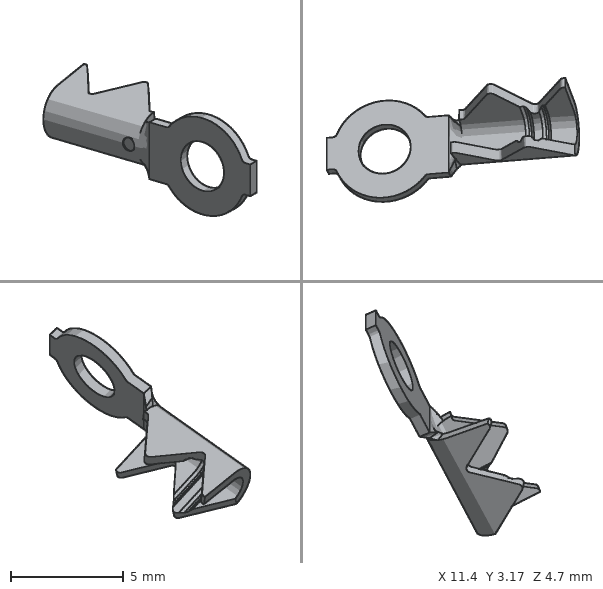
import cadquery as cq
import math

thickness = 0.5

total_length = 11.37
ring_diameter = 4.7
stud_hole_diameter = 2.36
ring_x = 8.74
neck_start_x = 5.83
neck_width = 2.77
tab_width = 1.55
neck_blend_radius = 0.17
tab_blend_radius = 0.2

barrel_length = 5.21
barrel_height = 3.17
bend_radius = 1.3
flare_angle = 9.0

first_tip_x = 0.07
half_pitch = 1.67
half_pitch_count = 3
tooth_flank_angle = 53.0
tooth_radius = 0.2

groove_positions = (1.36, 2.14)
groove_floor_width = 0.1
groove_depth = 0.14
groove_flank_angle = 45.0

cut_overrun = 0.25

dimple_x = 4.68
dimple_diameter = 0.64
dimple_floor_y = 0.08

transition_half_width = 1.09
middle_x = 5.49
middle_radius = 2.27
middle_half_width = 1.18

flare_sin = math.sin(math.radians(flare_angle))
flare_cos = math.cos(math.radians(flare_angle))
arm_base_y = bend_radius * (1 - flare_sin)
arm_base_z = bend_radius * flare_cos
arm_length = (barrel_height - thickness * flare_sin - arm_base_y) / flare_cos

arm_plane = cq.Plane(
    origin=(0, arm_base_y, arm_base_z),
    xDir=(1, 0, 0),
    normal=(0, -flare_sin, flare_cos),
)

flank_slope = math.tan(math.radians(tooth_flank_angle))
sharp_peak = arm_length + tooth_radius * (math.hypot(1, flank_slope) - 1)
sharp_valley = sharp_peak - half_pitch * flank_slope


def curved_section(x, radius, half_angle):
    """Cross-section at X: a strip of sheet bent about X, its outer surface touching Y = 0."""

    def point(r, angle):
        return (radius - r * math.cos(angle), r * math.sin(angle))

    inner_radius = radius - thickness
    return (
        cq.Workplane("YZ", origin=(x, 0, 0))
        .moveTo(*point(radius, -half_angle))
        .threePointArc(point(radius, 0), point(radius, half_angle))
        .lineTo(*point(inner_radius, half_angle))
        .threePointArc(point(inner_radius, 0), point(inner_radius, -half_angle))
        .close()
    )


def ruled_loft(start, end):
    """Solid with straight sides between two sections."""
    wires = [section.wires().val() for section in (start, end)]
    return cq.Workplane(cq.Solid.makeLoft(wires, True))


def toothed_arm(first_is_peak):
    """The +Z barrel arm, with rounded teeth along its free edge."""
    zigzag = []
    for i in range(-1, half_pitch_count + 2):
        is_peak = (i % 2 == 0) == first_is_peak
        zigzag.append((first_tip_x + i * half_pitch, sharp_peak if is_peak else sharp_valley))
    root = -arm_length
    outline = [(zigzag[0][0], root)] + zigzag + [(zigzag[-1][0], root)]

    sheet = cq.Workplane(arm_plane).polyline(outline).close().extrude(-thickness)
    tooth_edges = cq.selectors.BoxSelector(
        (-half_pitch / 2, 0, -barrel_height),
        (barrel_length + half_pitch / 2, 2 * barrel_height, barrel_height),
    )
    across_sheet = cq.selectors.ParallelDirSelector(arm_plane.zDir)
    sheet = sheet.edges(across_sheet).edges(tooth_edges).fillet(tooth_radius)
    blank = cq.Workplane(arm_plane).rect(barrel_length, arm_length, centered=False).extrude(-thickness)
    return sheet.intersect(blank)


def end_valley_cutter():
    """Wedge that carries the first tooth flank of the -Z arm straight on to the barrel end."""
    wedge_top = tooth_radius
    flank_x = first_tip_x + (wedge_top - sharp_valley) / flank_slope
    end_depth = sharp_valley - first_tip_x * flank_slope
    wedge = (
        cq.Workplane(arm_plane)
        .polyline([(0, end_depth), (flank_x, wedge_top), (0, wedge_top)])
        .close()
        .extrude(-thickness - cut_overrun)
    )
    return wedge.mirror("XY")


def barrel_bore(x, inset):
    """Filled outline of the barrel's inside at X, inset from the outer surface, open past the arm tips."""
    radius = bend_radius - inset
    reach = arm_length + cut_overrun
    base_y = bend_radius - radius * flare_sin
    base_z = radius * flare_cos
    tip_y = base_y + reach * flare_cos
    tip_z = base_z + reach * flare_sin
    return (
        cq.Workplane("YZ", origin=(x, 0, 0))
        .moveTo(tip_y, -tip_z)
        .lineTo(base_y, -base_z)
        .threePointArc((inset, 0), (base_y, base_z))
        .lineTo(tip_y, tip_z)
        .close()
    )


def groove_cutter(center_x):
    """Trapezoidal groove following the inside of the barrel."""
    floor_half = groove_floor_width / 2
    mouth_half = floor_half + groove_depth / math.tan(math.radians(groove_flank_angle))
    floor_inset = thickness - groove_depth
    cutter = barrel_bore(center_x - floor_half, floor_inset).extrude(groove_floor_width)
    for side in (-1, 1):
        mouth = barrel_bore(center_x + side * mouth_half, thickness)
        floor = barrel_bore(center_x + side * floor_half, floor_inset)
        cutter = cutter.union(ruled_loft(mouth, floor))
    return cutter


def barrel():
    bend = curved_section(0, bend_radius, math.radians(90 - flare_angle)).extrude(barrel_length)
    upper_arm = toothed_arm(first_is_peak=True)
    lower_arm = toothed_arm(first_is_peak=False).mirror("XY")
    body = bend.union(upper_arm).union(lower_arm).cut(end_valley_cutter())
    for groove_x in groove_positions:
        body = body.cut(groove_cutter(groove_x))
    dimple = (
        cq.Workplane("XZ", origin=(dimple_x, 0, 0))
        .circle(dimple_diameter / 2)
        .extrude(-dimple_floor_y)
    )
    return body.cut(dimple)


def transition():
    """Strip that flattens and widens from the barrel bend to the neck."""

    def dished(x, radius, half_width):
        return curved_section(x, radius, math.asin(half_width / radius))

    def middle():
        return dished(middle_x, middle_radius, middle_half_width)

    start = dished(barrel_length, bend_radius, transition_half_width)
    neck_end = (
        cq.Workplane("YZ", origin=(neck_start_x, 0, 0))
        .moveTo(0, -neck_width / 2)
        .lineTo(0, neck_width / 2)
        .lineTo(thickness, neck_width / 2)
        .lineTo(thickness, -neck_width / 2)
        .close()
    )
    return ruled_loft(start, middle()).union(ruled_loft(middle(), neck_end))


def tongue():
    """Flat ring with the neck on one side and a short tab on the other."""

    def strip(start_x, end_x, width):
        return (
            cq.Workplane("XZ")
            .center((start_x + end_x) / 2, 0)
            .rect(end_x - start_x, width)
            .extrude(-thickness)
        )

    ring = cq.Workplane("XZ").center(ring_x, 0).circle(ring_diameter / 2).extrude(-thickness)
    plate = ring.union(strip(neck_start_x, ring_x, neck_width)).union(strip(ring_x, total_length, tab_width))
    corner_spans = (
        (neck_start_x + thickness, ring_x, neck_blend_radius),
        (ring_x, total_length - tab_blend_radius, tab_blend_radius),
    )
    for span_start, span_end, radius in corner_spans:
        corners = cq.selectors.BoxSelector(
            (span_start, -thickness, -ring_diameter),
            (span_end, 2 * thickness, ring_diameter),
        )
        plate = plate.edges("|Y").edges(corners).fillet(radius)
    hole = cq.Workplane("XZ").center(ring_x, 0).circle(stud_hole_diameter / 2).extrude(-thickness)
    return plate.cut(hole)


result = barrel().union(transition()).union(tongue())